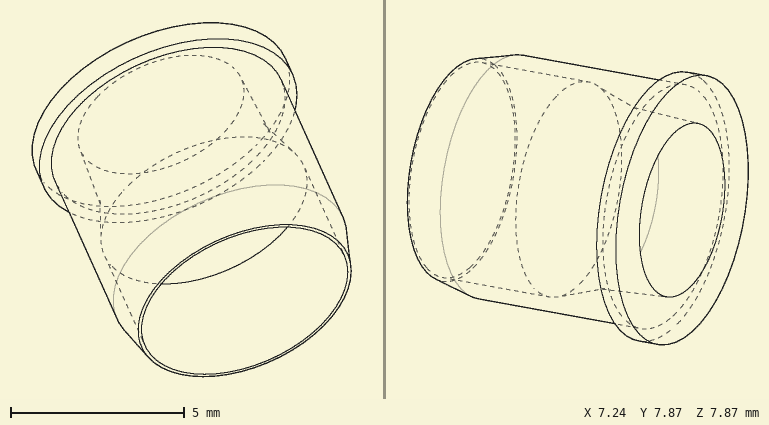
import cadquery as cq

length = 7.24
flange_diameter = 7.87
flange_thickness = 0.63
barrel_diameter = 7.14
tip_diameter = 6.51
taper_length = 1.26

mouth_diameter = 5.08
throat_diameter = 5.32
throat_depth = 2.24
recess_diameter = 6.295
recess_depth = 3.73

taper_start = length - taper_length

half_section = (
    cq.Workplane("XY")
    .moveTo(0, mouth_diameter / 2)
    .lineTo(0, flange_diameter / 2)
    .lineTo(flange_thickness, flange_diameter / 2)
    .lineTo(flange_thickness, barrel_diameter / 2)
    .lineTo(taper_start, barrel_diameter / 2)
    .lineTo(length, tip_diameter / 2)
    .lineTo(length, recess_diameter / 2)
    .lineTo(recess_depth, recess_diameter / 2)
    .lineTo(throat_depth, throat_diameter / 2)
    .close()
)

result = half_section.revolve(360, (0, 0, 0), (1, 0, 0))